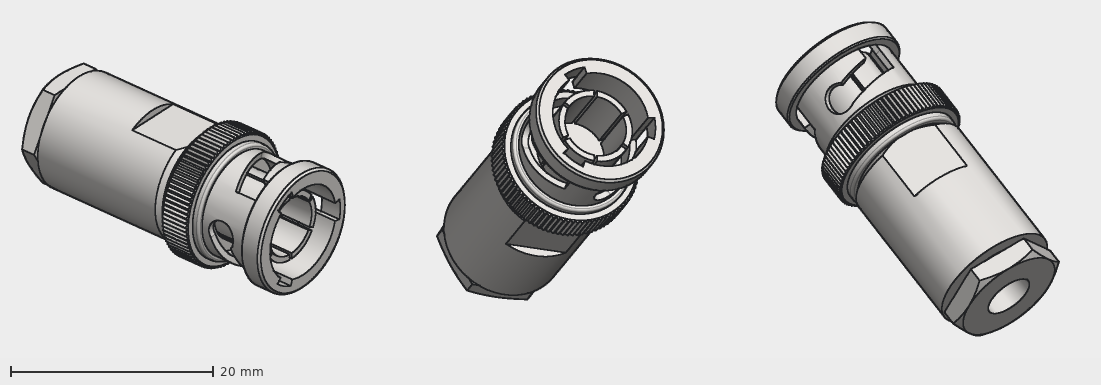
import math

import cadquery as cq


NUT_BORE_R = 2.45
HEX_FLATS = 10.93
HEX_LENGTH = 2.05
BEVEL_ANGLE = 30.0
NUT_SPIGOT_R = 4.6
NUT_LENGTH = 6.3

BODY_START = 2.52
BODY_R = 6.3
BODY_TAPER = 0.75
WRENCH_FLAT_START = 12.05
CONTACT_R = 1.3
CONTACT_LENGTH = 0.63
CONTACT_BORE_R = 0.55
COUNTERSINK_R = 0.85
COUNTERSINK_DEPTH = 0.3
CONTACT_BORE_DEPTH = 1.9
FERRULE_R = 3.85
FERRULE_WALL = 0.63
FERRULE_END = 29.92
FERRULE_SLITS = 6
SLIT_WIDTH = 0.3

COUPLING_START = 18.45
COUPLING_END = 31.5
SHOULDER_R = 6.3
SHOULDER_LENGTH = 4.82
SHOULDER_FILLET = 0.28
KNURL_START = 19.25
KNURL_LENGTH = 3.28
KNURL_R = 7.25
KNURL_CHAMFER_LENGTH = 0.15
KNURL_CHAMFER_DEPTH = 0.28
KNURL_GROOVES = 88
KNURL_GROOVE_DEPTH = 0.25
SLEEVE_R = 5.73
SLEEVE_BORE_R = 5.05
FLANGE_LENGTH = 2.4
FLANGE_R = 6.7
FLANGE_REAR_CHAMFER = 0.15
FLANGE_FRONT_CHAMFER = 0.25

SLOT_COUNT = 3
FIRST_SLOT_ANGLE = -30.0
SEAT_X = 25.75
SEAT_R = 1.58
RAMP_WIDTH = 2.45
RAMP_SLOPE = 14.4
ENTRY_FROM_ANGLE = 47.3
ENTRY_TO_ANGLE = 71.0
CUT_MARGIN = 0.3

SHOULDER_END = COUPLING_START + SHOULDER_LENGTH
FLANGE_START = COUPLING_END - FLANGE_LENGTH


def cylinder(radius, start, end):
    return cq.Workplane("YZ", origin=(start, 0, 0)).circle(radius).extrude(end - start)


def ring_point(radius, angle):
    """Point in the YZ plane at an angle measured from +Z towards -Y."""
    turn = math.radians(angle)
    return (-radius * math.sin(turn), radius * math.cos(turn))


def ring_sector(inner, outer, from_angle, to_angle, start):
    """Sketch of a piece of a ring, across the axis at x = start."""
    middle = (from_angle + to_angle) / 2
    return (
        cq.Workplane("YZ", origin=(start, 0, 0))
        .moveTo(*ring_point(inner, from_angle))
        .lineTo(*ring_point(outer, from_angle))
        .threePointArc(ring_point(outer, middle), ring_point(outer, to_angle))
        .lineTo(*ring_point(inner, to_angle))
        .threePointArc(ring_point(inner, middle), ring_point(inner, from_angle))
        .close()
    )


def make_clamp_nut():
    corner_r = HEX_FLATS / math.sqrt(3)
    hexagon = cq.Workplane("YZ").polygon(6, 2 * corner_r).extrude(HEX_LENGTH)
    flat_r = HEX_FLATS / 2
    cone = (
        cq.Workplane("XY")
        .polyline([
            (0, 0),
            (0, flat_r),
            (HEX_LENGTH, flat_r + HEX_LENGTH / math.tan(math.radians(BEVEL_ANGLE))),
            (HEX_LENGTH, 0),
        ])
        .close()
        .revolve(360, (0, 0, 0), (1, 0, 0))
    )
    spigot = cylinder(NUT_SPIGOT_R, HEX_LENGTH, NUT_LENGTH)
    bore = cylinder(NUT_BORE_R, 0, NUT_LENGTH)
    return hexagon.intersect(cone).union(spigot).cut(bore)


def make_contact():
    """Rear end of the centre contact, with its blind wire hole."""
    rear = NUT_LENGTH - CONTACT_LENGTH
    bore_end = rear + CONTACT_BORE_DEPTH
    post = cylinder(CONTACT_R, rear, NUT_LENGTH)
    hole = (
        cq.Workplane("XY")
        .polyline([
            (rear, 0),
            (rear, COUNTERSINK_R),
            (rear + COUNTERSINK_DEPTH, CONTACT_BORE_R),
            (bore_end, CONTACT_BORE_R),
            (bore_end + CONTACT_BORE_R, 0),
        ])
        .close()
        .revolve(360, (0, 0, 0), (1, 0, 0))
    )
    return post, hole


def make_body():
    barrel = cylinder(BODY_R, BODY_START, COUPLING_START).faces(">X").chamfer(BODY_TAPER)
    for side in (1, -1):
        flat = cq.Workplane("XY").box(
            COUPLING_START - WRENCH_FLAT_START, 2 * BODY_R, BODY_R, centered=(False, True, True)
        ).translate((WRENCH_FLAT_START, 0, side * (HEX_FLATS + BODY_R) / 2))
        barrel = barrel.cut(flat)
    socket = cylinder(NUT_SPIGOT_R, BODY_START, NUT_LENGTH)
    ferrule = cylinder(FERRULE_R, COUPLING_START, FERRULE_END)
    ferrule_bore = cylinder(FERRULE_R - FERRULE_WALL, SHOULDER_END, FERRULE_END)
    ferrule = ferrule.cut(ferrule_bore)
    slit = cq.Workplane("XY").box(
        FERRULE_END - SHOULDER_END, SLIT_WIDTH, 2 * FERRULE_R, centered=(False, True, True)
    ).translate((SHOULDER_END, 0, 0))
    for index in range(FERRULE_SLITS // 2):
        ferrule = ferrule.cut(slit.rotate((0, 0, 0), (1, 0, 0), index * 360 / FERRULE_SLITS))
    post, hole = make_contact()
    return barrel.cut(socket).union(ferrule).union(post).cut(hole)


def make_bayonet_slot():
    """Cutters for the slot whose seat lies at angle zero."""
    inner = SLEEVE_BORE_R - CUT_MARGIN
    outer = SLEEVE_R + CUT_MARGIN
    seat_spread = math.tan(SEAT_R / SLEEVE_R)
    seat = (
        cq.Workplane("XY", origin=(SEAT_X, 0, inner))
        .ellipse(SEAT_R, inner * seat_spread)
        .workplane(offset=outer - inner)
        .ellipse(SEAT_R, outer * seat_spread)
        .loft(ruled=True)
    )
    lead = 2 * math.pi * SLEEVE_R * math.tan(math.radians(RAMP_SLOPE))
    ramp_rise = lead * ENTRY_TO_ANGLE / 360
    helix = cq.Wire.makeHelix(lead, ramp_rise, SLEEVE_R)
    ramp = (
        cq.Workplane("XZ")
        .polyline([(inner, 0), (outer, 0), (outer, RAMP_WIDTH), (inner, RAMP_WIDTH)])
        .close()
        .sweep(cq.Workplane(helix), isFrenet=True)
        .rotate((0, 0, 0), (1, 1, 1), 120)
        .rotate((0, 0, 0), (1, 0, 0), 90)
        .translate((SEAT_X - SEAT_R, 0, 0))
    )
    entry_start = SEAT_X - SEAT_R + ramp_rise + CUT_MARGIN
    entry = ring_sector(inner, outer, ENTRY_FROM_ANGLE, ENTRY_TO_ANGLE, entry_start).extrude(
        COUPLING_END - entry_start
    )
    return [seat, ramp, entry]


def make_knurl():
    end = KNURL_START + KNURL_LENGTH
    rim_r = KNURL_R - KNURL_CHAMFER_DEPTH
    ring = (
        cq.Workplane("XY")
        .polyline([
            (KNURL_START, 0),
            (KNURL_START, rim_r),
            (KNURL_START + KNURL_CHAMFER_LENGTH, KNURL_R),
            (end - KNURL_CHAMFER_LENGTH, KNURL_R),
            (end, rim_r),
            (end, 0),
        ])
        .close()
        .revolve(360, (0, 0, 0), (1, 0, 0))
    )
    pitch = 360 / KNURL_GROOVES
    root_r = KNURL_R - KNURL_GROOVE_DEPTH
    outline = []
    for index in range(KNURL_GROOVES):
        outline.append(ring_point(root_r, index * pitch))
        outline.append(ring_point(KNURL_R, (index + 0.5) * pitch))
    teeth = cq.Workplane("YZ", origin=(KNURL_START, 0, 0)).polyline(outline).close().extrude(KNURL_LENGTH)
    return ring.intersect(teeth)


def make_coupling():
    sleeve = cylinder(SLEEVE_R, SHOULDER_END, COUPLING_END)
    slot = make_bayonet_slot()
    for index in range(SLOT_COUNT):
        angle = FIRST_SLOT_ANGLE + index * 360 / SLOT_COUNT
        for cutter in slot:
            sleeve = sleeve.cut(cutter.rotate((0, 0, 0), (1, 0, 0), angle))
    sleeve = sleeve.cut(cylinder(SLEEVE_BORE_R, SHOULDER_END, COUPLING_END))
    flange = (
        cylinder(FLANGE_R, FLANGE_START, COUPLING_END)
        .faces("<X").chamfer(FLANGE_REAR_CHAMFER)
        .faces(">X").chamfer(FLANGE_FRONT_CHAMFER)
        .cut(cylinder(SLEEVE_R, FLANGE_START, COUPLING_END))
    )
    shoulder = cylinder(SHOULDER_R, COUPLING_START, SHOULDER_END).edges().fillet(SHOULDER_FILLET)
    shoulder = shoulder.union(make_knurl()).cut(cylinder(FERRULE_R, COUPLING_START, SHOULDER_END))
    return shoulder.union(sleeve).union(flange)


clamp_nut = make_clamp_nut()
body = make_body()
coupling = make_coupling()

result = cq.Compound.makeCompound([part.solids().val() for part in (clamp_nut, body, coupling)])